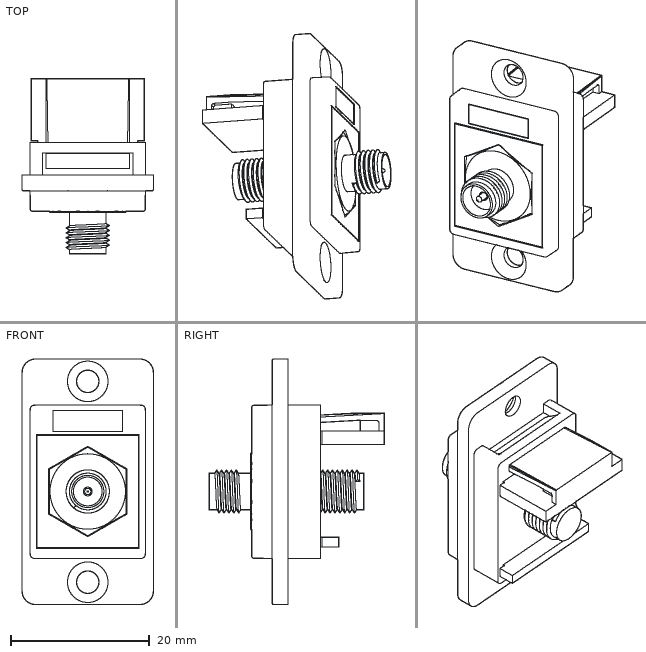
import cadquery as cq
import math


plate_width, plate_height, plate_thickness = 19.0, 35.5, 2.3
plate_corner_radius = 2.0
plate_edge_fillet = 0.25
screw_hole_diameter = 3.2
countersink_diameter = 5.85
countersink_angle = 90
screw_hole_height = 14.5

housing_width, housing_height = 16.7, 22.2
housing_front, housing_rear = -2.95, 7.0
housing_corner_radius = 0.75
housing_edge_fillet = 0.3
housing_draft = 1.0

label_width, label_height, label_depth = 10.0, 3.05, 0.15
label_center_height = 8.8
panel_width, panel_height = 14.8, 16.4
panel_center_height = -1.4
panel_gap, panel_gap_depth = 0.1, 0.2

connector_height = -1.4
pocket_across_flats, pocket_depth = 11.3, 0.8
collar_across_flats = 11.1
collar_face_diameter = 10.9
collar_front = housing_front - 0.15
collar_chamfer_angle = 30

barrel_diameter = 5.3
thread_diameter = 6.25
thread_pitch = 0.7056
thread_base_width = 0.68
thread_embed = 0.06
thread_start_angle = 130
connector_front, connector_rear = -9.1, 13.25
thread_spans = [(-8.28, -4.75), (6.32, 12.35)]
mouth_diameter = 4.65
bore_floor_diameter = 4.15
bore_depth = 1.9
pin_diameter = 0.9
pin_clearance_diameter, pin_clearance_depth = 1.27, 1.0
pin_cone_length = 0.5
pin_tip_diameter = 0.2
pin_tip_setback = 0.2

window_width, window_front, window_rear = 13.05, plate_thickness, 5.5
window_floor_height = 9.5
barb_width = 12.0
barb_front, barb_rear = 3.25, 5.4
barb_peak_height = housing_height / 2 - 0.1

latch_rear = 16.2
rail_width, rail_bottom, rail_top = 16.35, 5.35, 7.35
neck_width, neck_length = 14.5, 0.22
arm_width = 12.0
arm_bend = 12.25
arm_top_rear, arm_top_front = 9.95, 9.65
arm_bottom_rear, arm_bottom_front = 8.85, 8.55
arm_leg_thickness = 0.77
arm_leg_chamfer = 0.25
arm_edge_drop_rear, arm_edge_drop_front = 0.1, 0.3
arm_edge_inset_rear, arm_edge_inset_front = 0.1, 0.25
stop_width, stop_front = 9.9, 12.7

tab_width, tab_bottom, tab_top = rail_width, -9.45, -8.0
tab_rear = 9.65


def box(width, y_front, y_rear, z_bottom, z_top):
    """Box centred on X between the given Y and Z limits."""
    size_y = y_rear - y_front
    size_z = z_top - z_bottom
    return (
        cq.Workplane("XY")
        .box(width, size_y, size_z, centered=(True, False, False))
        .translate((0, y_front, z_bottom))
    )


def facing_front(y, z=0.0):
    """Sketch plane at depth y whose normal points to the front (-Y)."""
    return cq.Workplane("XZ", origin=(0, y, z))


def cylinder(diameter, y_front, y_rear):
    """Cylinder on the connector axis."""
    return facing_front(y_rear, connector_height).circle(diameter / 2).extrude(y_rear - y_front)


def cone(front_diameter, rear_diameter, y_front, y_rear):
    """Truncated cone on the connector axis."""
    solid = cq.Solid.makeCone(
        front_diameter / 2,
        rear_diameter / 2,
        y_rear - y_front,
        cq.Vector(0, y_front, connector_height),
        cq.Vector(0, 1, 0),
    )
    return cq.Workplane(solid)


def hexagon(across_flats, y_front, y_rear):
    """Hexagonal prism on the connector axis with corners up and down."""
    corner_diameter = across_flats / math.cos(math.pi / 6)
    return (
        facing_front(y_rear, connector_height)
        .transformed(rotate=(0, 0, 30))
        .polygon(6, corner_diameter)
        .extrude(y_rear - y_front)
    )


def make_plate():
    plate = facing_front(plate_thickness).rect(plate_width, plate_height).extrude(plate_thickness)
    plate = plate.edges("|Y").fillet(plate_corner_radius)
    return plate.faces("<Y").edges().fillet(plate_edge_fillet)


def cut_screw_holes(body):
    return (
        body.copyWorkplane(facing_front(0))
        .pushPoints([(0, screw_hole_height), (0, -screw_hole_height)])
        .cskHole(screw_hole_diameter, countersink_diameter, countersink_angle)
    )


def make_housing():
    rear = facing_front(housing_rear).rect(housing_width, housing_height).extrude(housing_rear)
    rear = rear.edges("|Y").fillet(housing_corner_radius)
    outline = cq.Sketch().rect(housing_width, housing_height).vertices().fillet(housing_corner_radius)
    front = facing_front(0).placeSketch(outline).extrude(-housing_front, taper=housing_draft)
    front = front.faces("<Y").edges().fillet(housing_edge_fillet)
    return rear.union(front)


def cut_front_details(body):
    """Label recess, outline gap of the insert panel and the collar pocket."""
    label = (
        facing_front(housing_front + label_depth, label_center_height)
        .rect(label_width, label_height)
        .extrude(label_depth)
    )
    gap = (
        facing_front(housing_front + panel_gap_depth, panel_center_height)
        .rect(panel_width, panel_height)
        .rect(panel_width - 2 * panel_gap, panel_height - 2 * panel_gap)
        .extrude(panel_gap_depth)
    )
    pocket = hexagon(pocket_across_flats, housing_front, housing_front + pocket_depth)
    return body.cut(label).cut(gap).cut(pocket)


def make_collar():
    """Hexagonal collar with its front corners turned to a cone."""
    length = housing_front + pocket_depth - collar_front
    spread = 2 * length / math.tan(math.radians(collar_chamfer_angle))
    collar_rear = collar_front + length
    turned = cone(collar_face_diameter, collar_face_diameter + spread, collar_front, collar_rear)
    return hexagon(collar_across_flats, collar_front, collar_rear).intersect(turned)


def make_thread(y_start, y_end):
    """Helical V ridge around the barrel."""
    root = barrel_diameter / 2
    crest = thread_diameter / 2
    buried = root - thread_embed
    half_base = thread_base_width / 2
    path = cq.Workplane(cq.Wire.makeHelix(thread_pitch, y_end - y_start, root))
    ridge = (
        cq.Workplane("XZ")
        .polyline([(buried, -half_base), (crest, 0), (buried, half_base)])
        .close()
        .sweep(path, isFrenet=True)
    )
    ridge = ridge.rotate((0, 0, 0), (0, 0, 1), thread_start_angle)
    return ridge.rotate((0, 0, 0), (1, 0, 0), -90).translate((0, y_start, connector_height))


def make_barrel():
    """Plain connector barrel with a pin inside a tapered bore at the mating end."""
    bore_floor = connector_front + bore_depth
    barrel = cylinder(barrel_diameter, connector_front, connector_rear)
    bore = cone(mouth_diameter, bore_floor_diameter, connector_front, bore_floor)
    pin_seat = bore_floor + pin_clearance_depth
    clearance = cylinder(pin_clearance_diameter, bore_floor, pin_seat)
    return barrel.cut(bore).cut(clearance).union(make_pin(pin_seat))


def make_pin(pin_seat):
    """Centre contact standing in its clearance hole, ending in a cone."""
    tip = connector_front + pin_tip_setback
    shoulder = tip + pin_cone_length
    point = cone(pin_tip_diameter, pin_diameter, tip, shoulder)
    return cylinder(pin_diameter, shoulder, pin_seat).union(point)


def add_latch_window(body):
    """Recess in the housing top with a ramped barb rising to the rear."""
    window = box(window_width, window_front, window_rear, window_floor_height, housing_height / 2)
    barb = (
        cq.Workplane("YZ", origin=(-barb_width / 2, 0, 0))
        .polyline([
            (barb_front, window_floor_height),
            (barb_rear, window_floor_height),
            (barb_rear, barb_peak_height),
        ])
        .close()
        .extrude(barb_width)
    )
    return body.cut(window).union(barb)


def make_arm():
    """Spring arm standing on the rail by its rear leg, its top sides bevelled."""
    leg_front = latch_rear - arm_leg_thickness
    arm = (
        cq.Workplane("YZ", origin=(-arm_width / 2, 0, 0))
        .polyline([
            (latch_rear, rail_top),
            (latch_rear, arm_top_rear),
            (arm_bend, arm_top_rear),
            (housing_rear, arm_top_front),
            (housing_rear, arm_bottom_front),
            (arm_bend, arm_bottom_rear),
            (leg_front - arm_leg_chamfer, arm_bottom_rear),
            (leg_front, arm_bottom_rear - arm_leg_chamfer),
            (leg_front, rail_top),
        ])
        .close()
        .extrude(arm_width)
    )
    bevel = make_arm_bevel()
    return arm.cut(bevel).cut(bevel.mirror("YZ"))


def make_arm_bevel():
    """Wedge along one upper arm edge that widens toward the housing."""
    half_width = arm_width / 2

    def section(y, z_top, inset, drop):
        return cq.Wire.makePolygon(
            [
                cq.Vector(half_width - inset, y, z_top),
                cq.Vector(half_width, y, z_top),
                cq.Vector(half_width, y, z_top - drop),
            ],
            close=True,
        )

    rear = section(latch_rear, arm_top_rear, arm_edge_inset_rear, arm_edge_drop_rear)
    front = section(housing_rear, arm_top_front, arm_edge_inset_front, arm_edge_drop_front)
    return cq.Workplane(cq.Solid.makeLoft([rear, front], True))


def make_ledge(width, y_rear, z_bottom, z_top):
    """Bar behind the housing, joined to it by a narrower neck."""
    neck_rear = housing_rear + neck_length
    neck = box(neck_width, housing_rear, neck_rear, z_bottom, z_top)
    return box(width, neck_rear, y_rear, z_bottom, z_top).union(neck)


def make_latch():
    rail = make_ledge(rail_width, latch_rear, rail_bottom, rail_top)
    stop = box(stop_width, stop_front, latch_rear, rail_top, arm_bottom_rear)
    return rail.union(make_arm()).union(stop)


body = cut_screw_holes(make_plate()).union(make_housing())
body = cut_front_details(body)
body = body.union(make_collar())
body = body.union(make_barrel())
body = add_latch_window(body)
body = body.union(make_latch())
body = body.union(make_ledge(tab_width, tab_rear, tab_bottom, tab_top))
for thread_start, thread_end in thread_spans:
    body = body.union(make_thread(thread_start, thread_end), clean=False)
result = body